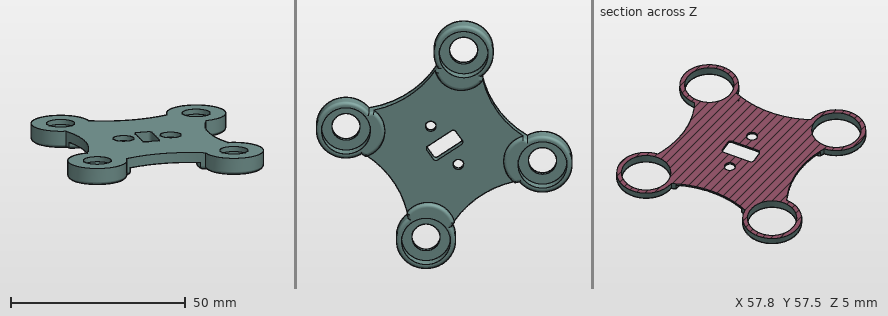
import cadquery as cq
import math

total_height = 5.0
plate_thickness = 3.0
plate_bottom = total_height - plate_thickness

ring_diameter = 17.0
ring_radius = ring_diameter / 2
length_x = 57.75
length_y = 57.45
ring_x = length_x / 2 - ring_radius
ring_y = length_y / 2 - ring_radius
inset = 0.25
ring_centers = [
    (ring_x, ring_y),
    (-ring_x, ring_y),
    (ring_x, -ring_y),
    (-ring_x + inset, -ring_y + inset),
]
ring_hole_diameter = 8.0
ring_roof_thickness = 1.5
ring_pocket_diameter = 14.0
ring_pocket_depth = total_height - ring_roof_thickness
ring_bottom_fillet = 1.0
extension_diameter = 15.5
extension_shift = 2.4

plate_half_side = 21.95
waist_half_width = 18.25
side_arc_radius = 28.3
side_arc_offset = waist_half_width + side_arc_radius

center_y = 0.1
slot_length = 10.0
slot_width = 5.0
slot_corner_radius = 0.85
screw_spacing = 14.0
screw_hole_diameter = 3.0
screw_head_diameter = 6.0
screw_head_depth = 1.5


def cylinder(center, diameter, bottom, height):
    """Upright cylinder standing at the given bottom height."""
    return cq.Workplane("XY", origin=(*center, bottom)).circle(diameter / 2).extrude(height)


def make_plate(bottom):
    """Arc-sided plate reaching from the given height to the top face."""
    height = total_height - bottom
    side = 2 * plate_half_side
    plate = cq.Workplane("XY", origin=(0, 0, bottom)).rect(side, side).extrude(height)
    for x, y in [(1, 0), (-1, 0), (0, 1), (0, -1)]:
        center = (x * side_arc_offset, y * side_arc_offset)
        plate = plate.cut(cylinder(center, 2 * side_arc_radius, bottom, height))
    return plate


def round_underside(body):
    """Fillet the outline of the lowest face."""
    return body.faces("<Z").edges().fillet(ring_bottom_fillet)


def make_ring(center):
    """Solid corner boss with an inward extension under the plate and a rounded underside."""
    x, y = center
    inner_center = (x - math.copysign(extension_shift, x), y - math.copysign(extension_shift, y))
    extension = cylinder(inner_center, extension_diameter, 0, total_height).intersect(make_plate(0))
    ring = cylinder(center, ring_diameter, 0, total_height)
    return round_underside(ring).union(round_underside(extension))


result = make_plate(plate_bottom)
for ring_center in ring_centers:
    result = result.union(make_ring(ring_center))

for ring_center in ring_centers:
    result = result.cut(cylinder(ring_center, ring_pocket_diameter, 0, ring_pocket_depth))
    result = result.cut(cylinder(ring_center, ring_hole_diameter, 0, total_height))

slot = (
    cq.Workplane("XY", origin=(0, center_y, 0))
    .rect(slot_length, slot_width)
    .extrude(total_height)
    .edges("|Z")
    .fillet(slot_corner_radius)
)
result = result.cut(slot)

for side in (-1, 1):
    screw_center = (0, center_y + side * screw_spacing / 2)
    head_floor = total_height - screw_head_depth
    result = result.cut(cylinder(screw_center, screw_hole_diameter, 0, total_height))
    result = result.cut(cylinder(screw_center, screw_head_diameter, head_floor, screw_head_depth))